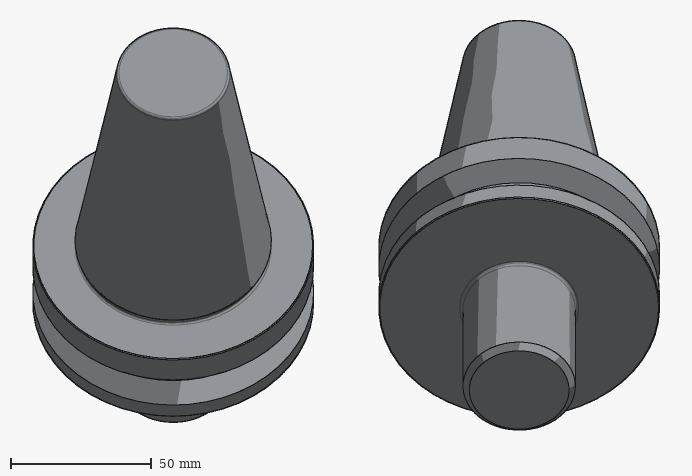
import cadquery as cq
import math

total_height = 186.8
flange_bottom = 47.0
flange_top = 82.0
gauge_height = 85.0

shank_radius = 20.0
flange_radius = 100.0 / 2
groove_radius = 42.4
gauge_radius = 35.0
relief_radius = 34.2

groove_floor_bottom = 58.7
groove_floor_top = 65.2
groove_wall_angle = math.radians(30)

taper_ratio = 7 / 24

shank_chamfer = 2.2
shank_root_fillet = 1.1
flange_chamfer = 0.4
relief_root_fillet = 0.7
gauge_edge_drop = 1.0
tip_fillet = 1.0

groove_wall_height = (flange_radius - groove_radius) * math.tan(groove_wall_angle)
tip_radius = gauge_radius - (total_height - gauge_height) * taper_ratio / 2


def half_profile():
    """Radius-height outline of the holder, from the shank end up to the taper tip."""
    return (
        cq.Workplane("XZ")
        .lineTo(shank_radius - shank_chamfer, 0)
        .lineTo(shank_radius, shank_chamfer)
        .lineTo(shank_radius, flange_bottom - shank_root_fillet)
        .radiusArc((shank_radius + shank_root_fillet, flange_bottom), shank_root_fillet)
        .lineTo(flange_radius - flange_chamfer, flange_bottom)
        .lineTo(flange_radius, flange_bottom + flange_chamfer)
        .lineTo(flange_radius, groove_floor_bottom - groove_wall_height)
        .lineTo(groove_radius, groove_floor_bottom)
        .lineTo(groove_radius, groove_floor_top)
        .lineTo(flange_radius, groove_floor_top + groove_wall_height)
        .lineTo(flange_radius, flange_top - flange_chamfer)
        .lineTo(flange_radius - flange_chamfer, flange_top)
        .lineTo(relief_radius + relief_root_fillet, flange_top)
        .radiusArc((relief_radius, flange_top + relief_root_fillet), relief_root_fillet)
        .lineTo(relief_radius, gauge_height - gauge_edge_drop)
        .lineTo(gauge_radius, gauge_height)
        .lineTo(tip_radius, total_height)
        .lineTo(0, total_height)
        .close()
    )


holder = half_profile().revolve(360, (0, 0, 0), (0, 1, 0))
result = holder.faces(">Z").edges().fillet(tip_fillet)